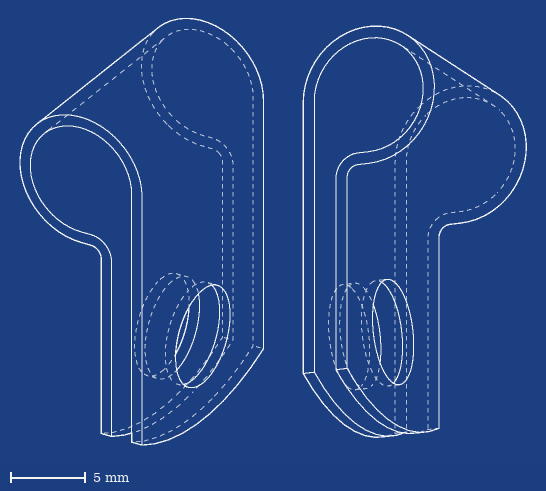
import cadquery as cq
import math

height = 25.4
width = 15.88
loop_radius = 4.78
thickness = 0.81
leg_gap = 1.57
bend_inner_radius = 0.8
hole_diameter = 7.1
hole_height = 6.35
end_sagitta = 1.73

inner_radius = loop_radius - thickness
bottom_z = loop_radius - height
short_leg_outer_x = inner_radius - leg_gap
short_leg_inner_x = short_leg_outer_x - thickness
bend_outer_radius = bend_inner_radius + thickness
bend_x = short_leg_inner_x - bend_inner_radius
bend_z = -loop_radius - bend_inner_radius
half_width = width / 2
cos45 = math.sqrt(0.5)


def bend_midpoint(radius):
    """Middle of the quarter bend between the loop and the short leg."""
    return bend_x + radius * cos45, bend_z + radius * cos45


def loop_midpoint(radius):
    """Middle of the three-quarter loop arc."""
    return -radius * cos45, radius * cos45


def bent_strap():
    """Constant-thickness strap: long leg, loop, bend and short leg."""
    return (
        cq.Workplane("XZ")
        .moveTo(loop_radius, bottom_z)
        .lineTo(loop_radius, 0)
        .threePointArc(loop_midpoint(loop_radius), (0, -loop_radius))
        .lineTo(bend_x, -loop_radius)
        .threePointArc(bend_midpoint(bend_inner_radius), (short_leg_inner_x, bend_z))
        .lineTo(short_leg_inner_x, bottom_z)
        .lineTo(short_leg_outer_x, bottom_z)
        .lineTo(short_leg_outer_x, bend_z)
        .threePointArc(bend_midpoint(bend_outer_radius), (bend_x, -inner_radius))
        .lineTo(0, -inner_radius)
        .threePointArc(loop_midpoint(inner_radius), (inner_radius, 0))
        .lineTo(inner_radius, bottom_z)
        .close()
        .extrude(half_width, both=True)
    )


def side_envelope():
    """Side outline with the arched lower end, spanning the full depth in X."""
    return (
        cq.Workplane("YZ")
        .moveTo(-half_width, loop_radius)
        .lineTo(-half_width, bottom_z + end_sagitta)
        .threePointArc((0, bottom_z), (half_width, bottom_z + end_sagitta))
        .lineTo(half_width, loop_radius)
        .close()
        .extrude(loop_radius, both=True)
    )


def screw_hole():
    """Cylinder along X that pierces both legs."""
    return (
        cq.Workplane("YZ")
        .center(0, bottom_z + hole_height)
        .circle(hole_diameter / 2)
        .extrude(loop_radius, both=True)
    )


result = bent_strap().intersect(side_envelope()).cut(screw_hole())